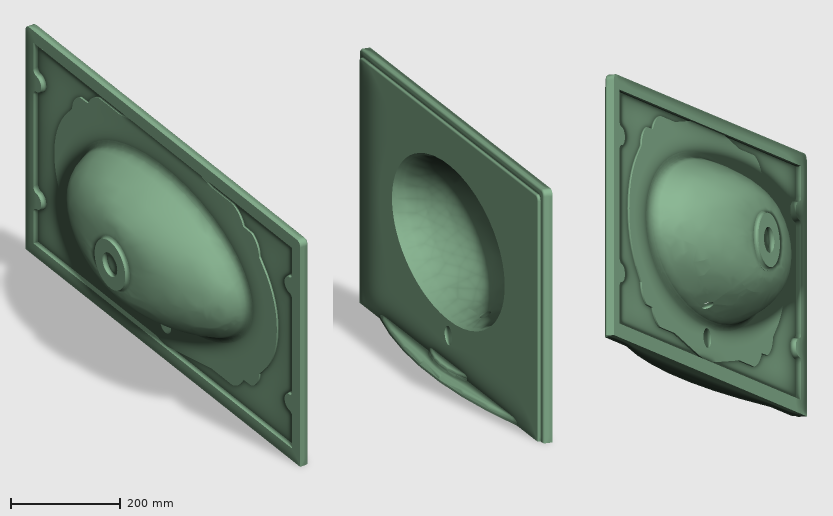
import cadquery as cq
import math

WIDTH = 896.0
DEPTH = 487.0
PLATE_THICKNESS = 18.0
PLATE_CORNER_RADIUS = 11.0
PLATE_EDGE_FILLET = 4.0

PICK_MARGIN = 1.0

DECK_TOP = 24.0
DECK_INSET = 13.0
DECK_CORNER_RADIUS = 10.0
DECK_EDGE_FILLET = 3.0

FRAME_WIDTH = 26.0
PANEL_DEPTH = 10.0
LUG_REACH = 25.0
LUG_RADIUS = 17.0
LUG_DRAFT_ANGLE = 12.0
LUG_ROOT_FILLET = 10.0
LUG_SPACING = 254.5
LUG_MID_Z = 249.0

ORNAMENT_MID_Z = 250.5
ORNAMENT_HEIGHT = 4.0
ORNAMENT_FACE = PANEL_DEPTH - ORNAMENT_HEIGHT
ORNAMENT_HALF_WIDTH = 363.0
ORNAMENT_HALF_HEIGHT = 226.0

SHOULDER_START = (150.0, 196.5)
SHOULDER_END = (218.0, 196.5)
UPPER_SCALLOP_CREST = (238.0, 186.0)
UPPER_SCALLOP_END = (253.0, 166.0)
LOWER_SCALLOP_START = (280.0, 165.0)
LOWER_SCALLOP_CREST = (296.0, 152.0)
LOWER_SCALLOP_END = (305.0, 127.0)
SIDE_ARC_START = (328.0, 101.0)
SIDE_ARC_MID = (354.0, 54.0)

BOWL_MID_Z = 250.5
BOWL_BOTTOM = -109.0
BOWL_SECTIONS = [
    (DECK_TOP, 286.0, 162.0),
    (0.0, 274.0, 150.0),
    (-42.0, 247.0, 131.0),
    (-70.0, 210.0, 114.0),
    (-95.0, 151.0, 91.0),
    (-108.0, 88.0, 64.0),
    (BOWL_BOTTOM, 48.0, 44.0),
]
WALL_THICKNESS = 12.0
BOWL_ROOT_FILLET = 12.0

DRAIN_Z = 244.0
DRAIN_BOSS_RADIUS = 50.0
DRAIN_BOSS_FACE = -117.0
DRAIN_BOSS_BASE_RADIUS = 56.0
DRAIN_HOLE_RADIUS = 24.0
DRAIN_HOLE_DEPTH = 10.0

TAP_HOLE_RADIUS = 18.0
TAP_HOLE_Z = 70.5
OVERFLOW_RADIUS = 11.5
OVERFLOW_CENTER = (-71.0, -25.0, 117.5)
OVERFLOW_DIRECTION = (0.23, 0.42, 0.88)
OVERFLOW_DEPTH = 30.0

UPSTAND_TOP = 61.6
UPSTAND_HALF_LENGTH = 335.0
UPSTAND_THICKNESS = 11.5
UPSTAND_FILLET = 7.0
LEDGE_TOP = 41.0
LEDGE_HALF_LENGTH = 92.0
LEDGE_THICKNESS = 21.0
LEDGE_FILLET = 5.0
LEDGE_FOOT_FILLET = 4.0


def plane_at(y):
    """Workplane parallel to XZ; a positive extrusion runs towards -Y."""
    return cq.Workplane("XZ", origin=(0, y, 0))


def plate():
    base = plane_at(0).center(0, DEPTH / 2).rect(WIDTH, DEPTH).extrude(-PLATE_THICKNESS)
    base = base.edges("|Y and >Z").fillet(PLATE_CORNER_RADIUS)
    top_rim = base.faces(">Y").edges("not <Z")
    base = base.newObject(top_rim.vals()).fillet(PLATE_EDGE_FILLET)
    deck_depth = DEPTH - DECK_INSET
    deck = (
        plane_at(0)
        .center(0, deck_depth / 2)
        .rect(WIDTH - 2 * DECK_INSET, deck_depth)
        .extrude(-DECK_TOP)
        .edges("|Y and >Z")
        .fillet(DECK_CORNER_RADIUS)
    )
    deck_rim = deck.faces(">Y").edges("not <Z")
    deck = deck.newObject(deck_rim.vals()).fillet(DECK_EDGE_FILLET)
    return base.union(deck)


def panel():
    """Volume of the recess in the underside, notched by four lugs."""
    half_width = WIDTH / 2 - FRAME_WIDTH
    height = DEPTH - 2 * FRAME_WIDTH
    body = plane_at(0).center(0, DEPTH / 2).rect(2 * half_width, height).extrude(-PANEL_DEPTH)
    for side in (-1, 1):
        for end in (-1, 1):
            slot_length = 4 * LUG_RADIUS
            slot_x = side * (half_width - LUG_REACH + slot_length / 2)
            lug_z = LUG_MID_Z + end * LUG_SPACING / 2
            lug = (
                plane_at(0)
                .center(slot_x, lug_z)
                .slot2D(slot_length, 2 * LUG_RADIUS)
                .extrude(-PANEL_DEPTH, taper=-LUG_DRAFT_ANGLE)
            )
            body = body.cut(lug)
            root = cq.selectors.BoxSelector(
                (side * half_width - PICK_MARGIN, -PICK_MARGIN, lug_z - 2 * LUG_RADIUS),
                (side * half_width + PICK_MARGIN, PANEL_DEPTH + PICK_MARGIN, lug_z + 2 * LUG_RADIUS),
            )
            body = body.edges(root).fillet(LUG_ROOT_FILLET)
    return body


def ornament():
    """Raised area with a scalloped outline, mirrored about both of its axes."""
    quarter = (
        plane_at(ORNAMENT_FACE)
        .center(0, ORNAMENT_MID_Z)
        .lineTo(0, ORNAMENT_HALF_HEIGHT)
        .lineTo(*SHOULDER_START)
        .lineTo(*SHOULDER_END)
        .threePointArc(UPPER_SCALLOP_CREST, UPPER_SCALLOP_END)
        .lineTo(*LOWER_SCALLOP_START)
        .threePointArc(LOWER_SCALLOP_CREST, LOWER_SCALLOP_END)
        .lineTo(*SIDE_ARC_START)
        .threePointArc(SIDE_ARC_MID, (ORNAMENT_HALF_WIDTH, 0))
        .lineTo(0, 0)
        .close()
        .extrude(-ORNAMENT_HEIGHT)
    )
    half = quarter.union(quarter.mirror("YZ"))
    return half.union(half.mirror("XY", (0, 0, ORNAMENT_MID_Z)))


def bowl(inset):
    """Lofted bowl volume; a positive inset shrinks it by the wall thickness."""
    wires = []
    for y, half_width, half_height in BOWL_SECTIONS:
        section_y = y + inset if y == BOWL_BOTTOM else y
        section = plane_at(section_y).center(0, BOWL_MID_Z)
        section = section.ellipse(half_width - inset, half_height - inset)
        wires.append(section.val())
    return cq.Workplane(cq.Solid.makeLoft(wires))


def drain_boss():
    """Round boss with a concave flare where it meets the bowl."""
    embedded_end = BOWL_BOTTOM + WALL_THICKNESS / 2
    flare = DRAIN_BOSS_BASE_RADIUS - DRAIN_BOSS_RADIUS
    flare_mid = flare * (1 - math.sqrt(0.5))
    return (
        cq.Workplane("XY", origin=(0, 0, DRAIN_Z))
        .moveTo(0, DRAIN_BOSS_FACE)
        .lineTo(DRAIN_BOSS_RADIUS, DRAIN_BOSS_FACE)
        .lineTo(DRAIN_BOSS_RADIUS, BOWL_BOTTOM - flare)
        .threePointArc(
            (DRAIN_BOSS_RADIUS + flare_mid, BOWL_BOTTOM - flare_mid),
            (DRAIN_BOSS_BASE_RADIUS, BOWL_BOTTOM),
        )
        .lineTo(DRAIN_BOSS_BASE_RADIUS, embedded_end)
        .lineTo(0, embedded_end)
        .close()
        .revolve(360, (0, 0, 0), (0, 1, 0))
    )


def strip(half_length, top, thickness, fillet):
    """Upright strip on the back edge whose top is one arc, rounded on its front edge."""
    block = (
        cq.Workplane("XY")
        .moveTo(-half_length, DECK_TOP)
        .threePointArc((0, top), (half_length, DECK_TOP))
        .lineTo(half_length, PLATE_THICKNESS)
        .lineTo(-half_length, PLATE_THICKNESS)
        .close()
        .extrude(thickness)
    )
    crest = block.faces(">Z").edges("%CIRCLE")
    return block.newObject(crest.vals()).fillet(fillet)


def upstand():
    """Long strip with the shorter ledge on it, blended where the ledge rises from the strip."""
    long_strip = strip(UPSTAND_HALF_LENGTH, UPSTAND_TOP, UPSTAND_THICKNESS, UPSTAND_FILLET)
    ledge = strip(LEDGE_HALF_LENGTH, LEDGE_TOP, LEDGE_THICKNESS, LEDGE_FILLET)
    stepped = long_strip.union(ledge)
    foot_reach = LEDGE_HALF_LENGTH + PICK_MARGIN
    foot = cq.selectors.BoxSelector(
        (-foot_reach, DECK_TOP - PICK_MARGIN, UPSTAND_THICKNESS - PICK_MARGIN),
        (foot_reach, LEDGE_TOP + PICK_MARGIN, UPSTAND_THICKNESS + PICK_MARGIN),
        boundingbox=True,
    )
    return stepped.edges(foot).edges("%CIRCLE").fillet(LEDGE_FOOT_FILLET)


def overflow_hole():
    return cq.Workplane(
        cq.Solid.makeCylinder(
            OVERFLOW_RADIUS,
            OVERFLOW_DEPTH,
            cq.Vector(OVERFLOW_CENTER) - cq.Vector(OVERFLOW_DIRECTION) * (OVERFLOW_DEPTH / 2),
            cq.Vector(OVERFLOW_DIRECTION),
        )
    )


def blend_bowl_root(body):
    """Round the elliptical corner between the bowl and the ornament."""
    _, half_width, half_height = BOWL_SECTIONS[0]
    root = cq.selectors.BoxSelector(
        (-half_width, ORNAMENT_FACE - PICK_MARGIN, BOWL_MID_Z - half_height),
        (half_width, ORNAMENT_FACE + PICK_MARGIN, BOWL_MID_Z + half_height),
        boundingbox=True,
    )
    return body.edges(root).fillet(BOWL_ROOT_FILLET)


def drain_recess():
    mouth = plane_at(DRAIN_BOSS_FACE).center(0, DRAIN_Z).circle(DRAIN_HOLE_RADIUS)
    return mouth.extrude(-DRAIN_HOLE_DEPTH)


def tap_hole():
    return plane_at(0).center(0, TAP_HOLE_Z).circle(TAP_HOLE_RADIUS).extrude(-DECK_TOP)


ornament_in_panel = ornament().intersect(panel())
result = plate().cut(panel()).union(ornament_in_panel)
result = blend_bowl_root(result.union(bowl(0)))
result = result.union(drain_boss()).cut(bowl(WALL_THICKNESS)).union(upstand())
result = result.cut(drain_recess()).cut(tap_hole()).cut(overflow_hole())